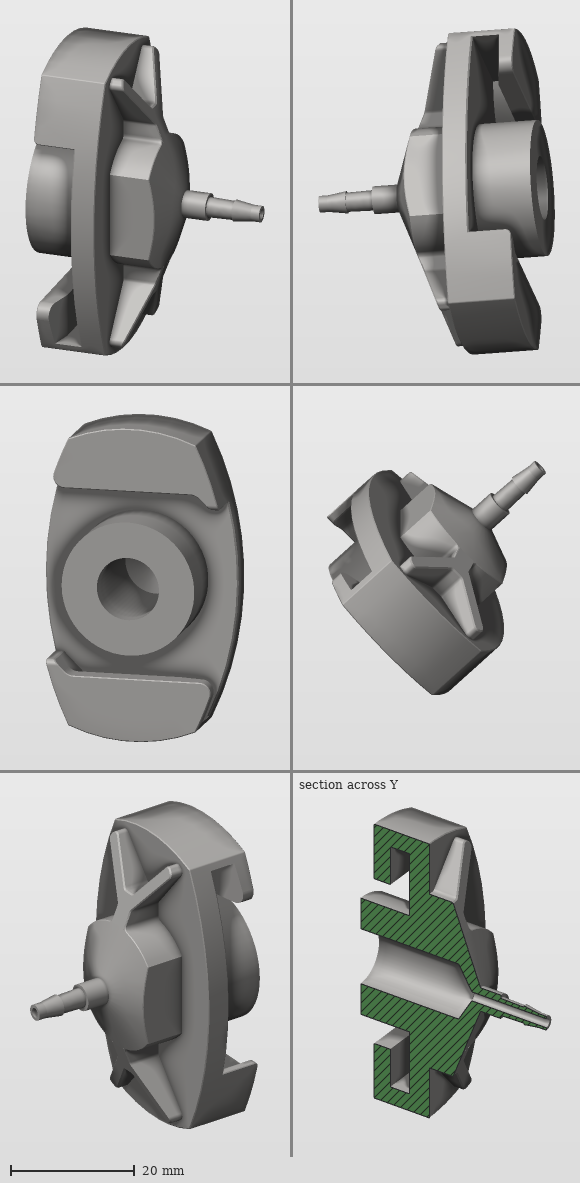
import cadquery as cq
import math

length = 36.5
height = 51.8
width = 32.0

cheek_front = 2.55
plate_front = 9.45
plate_back = 13.5
corner_y = 10.55
corner_z = 23.75
rim_break = 0.15
plate_front_break = 0.25
upright_corner_radius = 0.35

cheek_edge_z = 15.5
hook_tip_z = 13.05
hook_tip_y = -13.0
hook_angle = math.radians(45)
hook_root_radius = 2.25
hook_tip_radius = 0.95
cheek_corner_radius = 1.85

lip_back = 5.85
pocket_roof_z = 22.6
pocket_arc_start_z = 15.95
lead_in_y = 7.25
lead_in_slope = 0.2

boss_diameter = 22.0
hub_half_width = 8.5
cone_tip_x = 23.55
cone_slope = 2.62
hub_rim_break = 0.1

neck_diameter = 4.5
neck_end = 27.55
stem_start_radius = 1.65
stem_end_radius = 1.55
barb_start = 31.95
barb_radius = 1.8
barb_end = 35.05
tip_radius = 1.35

chamber_diameter = 10.3
chamber_end = 19.15
funnel_end = 21.75
passage_diameter = 1.6

rib_stem_half_width = 1.8
rib_stem_end_z = 16.45
arm_end_y = 8.1
arm_end_z = 23.05
arm_width = 2.2
arm_corner_radius = 0.85
arm_angle = math.radians(40)
rib_root_radius = 0.9
fork_radius = 0.8
rib_break = 0.2

boss_radius = boss_diameter / 2
neck_radius = neck_diameter / 2
far = height
cheek_seat = plate_front + 2 * plate_front_break


def cone_x(radius):
    """Place along the axis where the hub cone has the given radius."""
    return cone_tip_x - (radius - neck_radius) / cone_slope


cone_apex_x = cone_x(0)


def yz_plane(x):
    return cq.Workplane("YZ", origin=(x, 0, 0))


def disc(x_start, x_end, radius):
    return yz_plane(x_start).circle(radius).extrude(x_end - x_start)


def oval(x_start, x_end):
    """Prism with the flange outline: four arcs joined by small rounded corners."""
    return (
        yz_plane(x_start)
        .moveTo(-corner_y, corner_z)
        .threePointArc((0, height / 2), (corner_y, corner_z))
        .threePointArc((width / 2, 0), (corner_y, -corner_z))
        .threePointArc((0, -height / 2), (-corner_y, -corner_z))
        .threePointArc((-width / 2, 0), (-corner_y, corner_z))
        .close()
        .extrude(x_end - x_start)
        .edges("|X")
        .fillet(upright_corner_radius)
    )


def edges_near(y, z, reach=0.5):
    """Selector for the edges along X whose middle lies close to (y, z)."""
    return cq.selectors.BoxSelector((0, y - reach, z - reach), (length, y + reach, z + reach))


def turned_over(shape):
    return shape.rotate((0, 0, 0), (1, 0, 0), 180)


def plate():
    blank = oval(plate_front, plate_back).faces(">X").edges().chamfer(rim_break)
    return blank.faces("<X").edges().chamfer(plate_front_break)


def pocket():
    """Undercut of the upper cheek: open at +Y, closed by the hook at -Y."""
    arc_start_y = hook_tip_y + (pocket_arc_start_z - hook_tip_z) * math.tan(hook_angle)
    arc_radius = (pocket_roof_z - pocket_arc_start_z) / math.sin(hook_angle)
    arc_end_y = arc_start_y + arc_radius * (1 - math.cos(hook_angle))
    cavity = (
        yz_plane(0)
        .moveTo(hook_tip_y, hook_tip_z)
        .lineTo(arc_start_y, pocket_arc_start_z)
        .tangentArcPoint((arc_end_y, pocket_roof_z), relative=False)
        .lineTo(width, pocket_roof_z)
        .lineTo(width, hook_tip_z)
        .close()
        .extrude(cheek_seat)
    )
    lead_in = lead_in_slope * (width - lead_in_y)
    behind_lip = (
        cq.Workplane("XY")
        .polyline([
            (lip_back, -width),
            (lip_back, lead_in_y),
            (lip_back - lead_in, width),
            (cheek_seat, width),
            (cheek_seat, -width),
        ])
        .close()
        .extrude(height)
    )
    return cavity.intersect(behind_lip)


def upper_cheek():
    hook_root_y = hook_tip_y + (cheek_edge_z - hook_tip_z) * math.tan(hook_angle)
    region = (
        yz_plane(cheek_front)
        .polyline([
            (-width, hook_tip_z),
            (hook_tip_y, hook_tip_z),
            (hook_root_y, cheek_edge_z),
            (width, cheek_edge_z),
            (width, height),
            (-width, height),
        ])
        .close()
        .extrude(cheek_seat - cheek_front)
    )
    cheek = region.intersect(oval(cheek_front, cheek_seat))
    open_corner_y = cheek.edges("|X and >Y").val().Center().y
    cheek = cheek.edges(edges_near(open_corner_y, cheek_edge_z)).fillet(cheek_corner_radius)
    cheek = cheek.edges(edges_near(hook_root_y, cheek_edge_z)).fillet(hook_root_radius)
    cheek = cheek.faces("<Z").edges("<X").fillet(hook_tip_radius)
    cheek = cheek.faces("<X").edges().chamfer(rim_break)
    return cheek.cut(pocket())


def rib_arm(side):
    """Round-cornered arm leaning outwards; its inner end is buried in the stem."""
    buried_length = arm_end_y / math.sin(arm_angle)
    bar = (
        yz_plane(plate_front)
        .center(0, -buried_length / 2)
        .rect(arm_width, buried_length)
        .extrude(cone_apex_x - plate_front)
        .faces(">Z")
        .edges("|X")
        .fillet(arm_corner_radius)
    )
    lean = -side * math.degrees(arm_angle)
    return bar.rotate((0, 0, 0), (1, 0, 0), lean).translate((0, side * arm_end_y, arm_end_z))


def upper_rib():
    """Forked rib: a stem on the axis that splits into two arms, still flat-topped."""
    stem = (
        yz_plane(plate_front)
        .center(0, rib_stem_end_z / 2)
        .rect(2 * rib_stem_half_width, rib_stem_end_z)
        .extrude(cone_apex_x - plate_front)
    )
    upper_half = cq.Workplane("XY").box(2 * far, far, far, centered=(True, True, False))
    rib = stem.union(rib_arm(1)).union(rib_arm(-1)).intersect(upper_half)
    inner_corners = cq.selectors.BoxSelector(
        (0, -arm_end_y / 2, boss_radius),
        (length, arm_end_y / 2, arm_end_z - arm_width),
    )
    return rib.edges("|X").edges(inner_corners).fillet(fork_radius)


def rib_roof():
    """Everything below the sloping top of the upper rib."""
    roof_end_x = cone_x(height / 2)
    return (
        cq.Workplane("XZ", origin=(0, width / 2, 0))
        .polyline([
            (0, 0),
            (cone_apex_x, 0),
            (roof_end_x, height / 2),
            (0, height / 2),
        ])
        .close()
        .extrude(width)
    )


def cone_roof():
    """Everything below the hub cone, wide enough to cover the rib root fillets."""
    roof_radius = boss_radius + 2 * rib_root_radius
    roof_edge_x = cone_x(roof_radius)
    return (
        cq.Workplane("XY")
        .polyline([
            (0, 0),
            (0, roof_radius),
            (roof_edge_x, roof_radius),
            (cone_tip_x, neck_radius),
            (cone_tip_x, 0),
        ])
        .close()
        .revolve(360, (0, 0, 0), (1, 0, 0))
    )


def hub_rim_edges():
    """Selector for the edges where the cone meets the drum and its two flats."""
    rim_start = (cone_x(boss_radius) - hub_rim_break, rib_stem_half_width + rib_root_radius / 2)
    rim_end = (cone_x(hub_half_width), 2 * hub_half_width)
    sides = [
        cq.selectors.BoxSelector(
            (rim_start[0], side * rim_start[1], -boss_radius),
            (rim_end[0], side * rim_end[1], boss_radius),
        )
        for side in (-1, 1)
    ]
    return sides[0] + sides[1]


def back_cover():
    """Flat-sided hub with a forked rib above and below, closed by a cone."""
    rib = upper_rib()
    ribs = rib.union(turned_over(rib))
    drum = disc(plate_front, cone_tip_x, boss_radius)
    drum = drum.intersect(cq.Workplane("XY").box(2 * far, 2 * hub_half_width, far))
    root_z = math.sqrt(boss_radius ** 2 - rib_stem_half_width ** 2)
    blank = drum.union(ribs)
    for y in (-rib_stem_half_width, rib_stem_half_width):
        for z in (-root_z, root_z):
            blank = blank.edges("|X").edges(edges_near(y, z)).fillet(rib_root_radius)
    sloped_rib = rib.intersect(rib_roof())
    sloped_rib = sloped_rib.faces(">X").edges("not <Z").chamfer(rib_break)
    sloped_rib = sloped_rib.cut(disc(0, cone_apex_x, boss_radius))
    cover = blank.intersect(cone_roof().union(sloped_rib).union(turned_over(sloped_rib)))
    return cover.edges(hub_rim_edges()).chamfer(hub_rim_break)


def hose_connection():
    return (
        cq.Workplane("XY")
        .polyline([
            (plate_front, 0),
            (plate_front, neck_radius),
            (neck_end, neck_radius),
            (neck_end, stem_start_radius),
            (barb_start, stem_end_radius),
            (barb_start, barb_radius),
            (barb_end, tip_radius),
            (length, tip_radius),
            (length, 0),
        ])
        .close()
        .revolve(360, (0, 0, 0), (1, 0, 0))
    )


def inner_passage():
    return (
        cq.Workplane("XY")
        .polyline([
            (0, 0),
            (0, chamber_diameter / 2),
            (chamber_end, chamber_diameter / 2),
            (funnel_end, passage_diameter / 2),
            (length, passage_diameter / 2),
            (length, 0),
        ])
        .close()
        .revolve(360, (0, 0, 0), (1, 0, 0))
    )


cheek = upper_cheek()
result = (
    plate()
    .union(cheek)
    .union(turned_over(cheek))
    .union(disc(0, plate_back, boss_radius))
    .union(back_cover())
    .union(hose_connection())
    .cut(inner_passage())
)